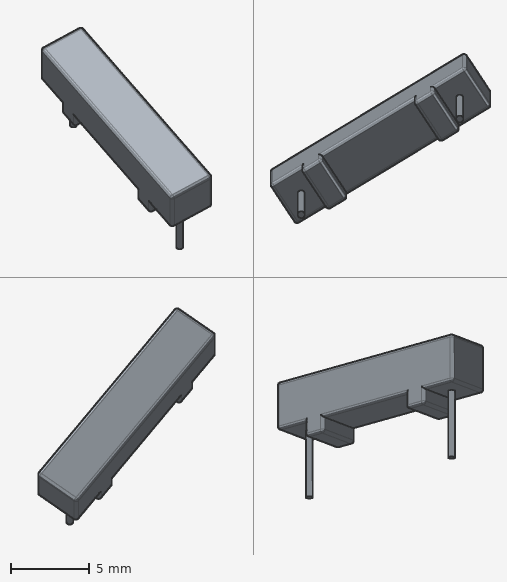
import cadquery as cq

body_length = 14.8
body_width = 3.2
body_height = 3.2
total_height = 7.7
edge_radius = 0.2

foot_length = 1.5
foot_drop = 1.0
foot_spacing = 8.51

lead_diameter = 0.46
lead_spacing = 12.0
lead_embed = body_height / 2

lead_drop = total_height - body_height


def make_housing():
    """Body with two flush feet, rounded on every outside edge."""
    housing = cq.Workplane("XY").box(
        body_length, body_width, body_height, centered=(True, True, False)
    )
    for side in (-1, 1):
        foot = (
            cq.Workplane("XY", origin=(side * foot_spacing / 2, 0, -foot_drop))
            .box(foot_length, body_width, foot_drop + body_height / 2, centered=(True, True, False))
        )
        housing = housing.union(foot)
    housing = housing.clean()

    corner_x = [
        side * foot_spacing / 2 + end * foot_length / 2
        for side in (-1, 1)
        for end in (-1, 1)
    ]
    tolerance = 0.001
    outside_edges = []
    for edge in housing.edges().vals():
        center = edge.Center()
        at_foot_side = any(abs(center.x - x) < tolerance for x in corner_x)
        is_inside_corner = at_foot_side and abs(center.z) < tolerance
        if not is_inside_corner:
            outside_edges.append(edge)
    return housing.newObject(outside_edges).fillet(edge_radius)


def make_leads():
    """Two straight round leads that start inside the body."""
    return (
        cq.Workplane("XY", origin=(0, 0, -lead_drop))
        .pushPoints([(-lead_spacing / 2, 0), (lead_spacing / 2, 0)])
        .circle(lead_diameter / 2)
        .extrude(lead_drop + lead_embed)
    )


result = make_housing().union(make_leads())